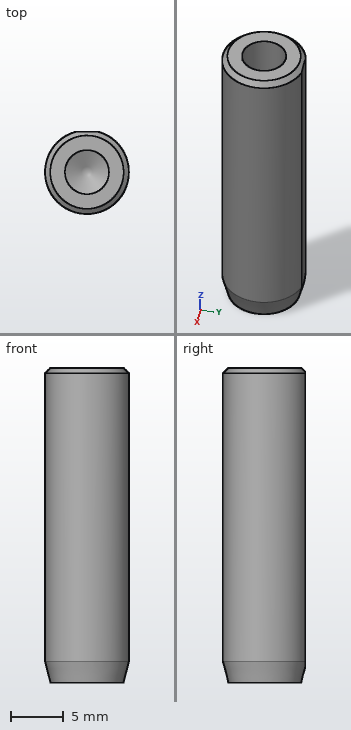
import cadquery as cq

length = 30
diameter = 8.0
radius = diameter / 2
depth_across_flat = 7.85

top_chamfer_width = 0.5
top_chamfer_height = 0.5
bottom_radius = 3.48
taper_height = 2.05

bore_radius = 2.1
bore_depth = 12
drill_point_depth = 1.2

flat_y = depth_across_flat - radius


def make_body():
    """Round pin with a long lead-in taper below and a chamfer on top."""
    return (
        cq.Workplane("XZ")
        .lineTo(bottom_radius, 0)
        .lineTo(radius, taper_height)
        .lineTo(radius, length - top_chamfer_height)
        .lineTo(radius - top_chamfer_width, length)
        .lineTo(0, length)
        .close()
        .revolve(360, (0, 0, 0), (0, 1, 0))
    )


def make_bore():
    """Blind hole from the top face, ending in a cone."""
    bore_floor = length - bore_depth
    return (
        cq.Workplane("XZ")
        .moveTo(0, length)
        .lineTo(bore_radius, length)
        .lineTo(bore_radius, bore_floor)
        .lineTo(0, bore_floor - drill_point_depth)
        .close()
        .revolve(360, (0, 0, 0), (0, 1, 0))
    )


def make_flat_cutter():
    """Block that trims the +Y side to a narrow flat along the whole length."""
    return (
        cq.Workplane("XY")
        .box(diameter, radius, length, centered=(True, False, False))
        .translate((0, flat_y, 0))
    )


result = make_body().cut(make_bore()).cut(make_flat_cutter())